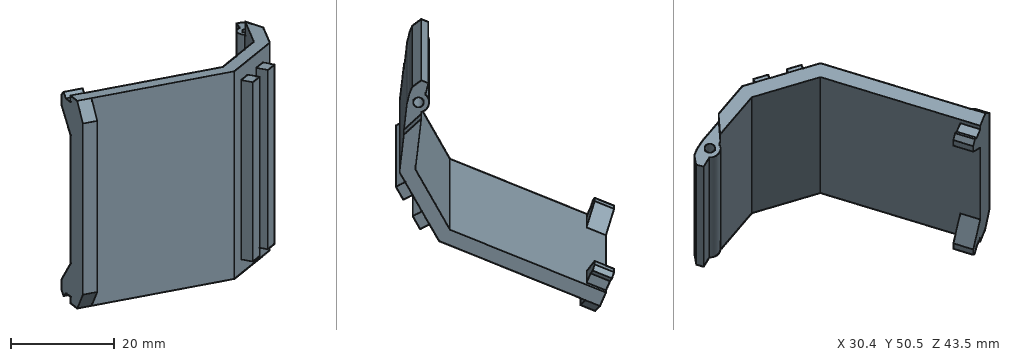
import cadquery as cq
import math

TOTAL_X = 30.35
TOTAL_Y = 50.45
HEIGHT = 43.5

PLATE_THICKNESS = 3.0
WALL_OUTER_X = 27.9
LOWER_BEND = (WALL_OUTER_X, 33.8)
UPPER_BEND = (17.95, 46.3)
TOP_ANGLE = math.radians(163.3)
TOP_LENGTH = 7.7
PLATE_TIP_INNER_X = 6.3

FLANGE_DEPTH = 3.1
FLANGE_CHAMFER_Z = 3.85

HOOK_DEPTH = 4.1
HOOK_REACH = 4.05
HOOK_BARB_HALF_WIDTH = 1.0
HOOK_TIP_INSET = 0.35
HOOK_NECK_INSET = 1.35
HOOK_FRONT_END_INSET = 3.45
HOOK_ROOT_INSET = 8.3

HINGE_INSET = 3.0
HINGE_HEIGHT = HEIGHT - 2 * HINGE_INSET
HINGE_CENTER = (4.35, 48.1)
BARREL_RADIUS = 2.05
HINGE_HOLE_DIAMETER = 2.0
LIP_BOTTOM_Y = 47.85
LIP_TOP_Y = 49.4
LIP_CREST_X = 1.9
CROWN_FLAT_END_X = 3.25
CROWN_END_X = 5.45
BARREL_START_ANGLE = math.radians(197)

RAIL_WIDTH = 3.05
RAIL_DEPTH = 2.5
RAIL_STARTS = (3.15, 9.95)


def along(point, angle, distance):
    """Point reached by moving a distance from a point at an angle."""
    return (point[0] + distance * math.cos(angle), point[1] + distance * math.sin(angle))


def inner_bend(bend, angle_before, angle_after):
    """Inner mitred point of a bend, one plate thickness inside its outer point."""
    half_turn = (angle_after - angle_before) / 2
    mitre_angle = (angle_before + angle_after) / 2 + math.pi / 2
    return along(bend, mitre_angle, PLATE_THICKNESS / math.cos(half_turn))


def prism(points, height):
    """Closed polygon extruded along Z, centred on z = 0."""
    return cq.Workplane("XY").polyline(points).close().extrude(height / 2, both=True)


WALL_ANGLE = math.pi / 2
SLOPE_ANGLE = math.atan2(UPPER_BEND[1] - LOWER_BEND[1], UPPER_BEND[0] - LOWER_BEND[0])
WALL_INNER_X = WALL_OUTER_X - PLATE_THICKNESS
PLATE_TIP_OUTER = along(UPPER_BEND, TOP_ANGLE, TOP_LENGTH)
UPPER_BEND_INNER = inner_bend(UPPER_BEND, SLOPE_ANGLE, TOP_ANGLE)
PLATE_TIP_INNER = along(
    UPPER_BEND_INNER, TOP_ANGLE, (PLATE_TIP_INNER_X - UPPER_BEND_INNER[0]) / math.cos(TOP_ANGLE)
)

INNER_NORMAL_ANGLE = TOP_ANGLE + math.pi / 2
INNER_FACE_OFFSET = (
    (PLATE_TIP_INNER[0] - HINGE_CENTER[0]) * math.cos(INNER_NORMAL_ANGLE)
    + (PLATE_TIP_INNER[1] - HINGE_CENTER[1]) * math.sin(INNER_NORMAL_ANGLE)
)
BARREL_END_ANGLE = INNER_NORMAL_ANGLE + math.acos(INNER_FACE_OFFSET / BARREL_RADIUS)


def bent_plate():
    outline = [
        (WALL_INNER_X, 0),
        (WALL_OUTER_X, 0),
        LOWER_BEND,
        UPPER_BEND,
        PLATE_TIP_OUTER,
        PLATE_TIP_INNER,
        UPPER_BEND_INNER,
        inner_bend(LOWER_BEND, WALL_ANGLE, SLOPE_ANGLE),
    ]
    return prism(outline, HEIGHT)


def flange():
    half = HEIGHT / 2
    outline = [
        (WALL_INNER_X, -half),
        (WALL_OUTER_X, -half),
        (TOTAL_X, -half + FLANGE_CHAMFER_Z),
        (TOTAL_X, half - FLANGE_CHAMFER_Z),
        (WALL_OUTER_X, half),
        (WALL_INNER_X, half),
    ]
    return cq.Workplane("XZ").polyline(outline).close().extrude(-FLANGE_DEPTH)


def hook():
    """Upper hook; it is joined to the wall by a root inside the plate."""
    half = HEIGHT / 2
    front_x = WALL_INNER_X - HOOK_REACH
    root_x = WALL_INNER_X + PLATE_THICKNESS / 2
    outline = [
        (root_x, half - HOOK_NECK_INSET),
        (front_x + 2 * HOOK_BARB_HALF_WIDTH, half - HOOK_NECK_INSET),
        (front_x + HOOK_BARB_HALF_WIDTH, half - HOOK_TIP_INSET),
        (front_x, half - HOOK_NECK_INSET),
        (front_x, half - HOOK_FRONT_END_INSET),
        (WALL_INNER_X, half - HOOK_ROOT_INSET),
        (root_x, half - HOOK_ROOT_INSET),
    ]
    return cq.Workplane("XZ").polyline(outline).close().extrude(-HOOK_DEPTH)


def hinge_strip():
    crown_run = (CROWN_END_X - PLATE_TIP_OUTER[0]) / math.cos(TOP_ANGLE)
    crown_end = along(PLATE_TIP_OUTER, TOP_ANGLE, crown_run)
    outline = (
        cq.Workplane("XY", origin=(0, 0, -HINGE_HEIGHT / 2))
        .moveTo(0, LIP_BOTTOM_Y)
        .lineTo(0, LIP_TOP_Y)
        .lineTo(LIP_CREST_X, TOTAL_Y)
        .lineTo(CROWN_FLAT_END_X, TOTAL_Y)
        .lineTo(*crown_end)
        .lineTo(*PLATE_TIP_OUTER)
        .lineTo(*PLATE_TIP_INNER)
        .lineTo(*along(HINGE_CENTER, BARREL_END_ANGLE, BARREL_RADIUS))
        .threePointArc(
            along(HINGE_CENTER, (BARREL_START_ANGLE + BARREL_END_ANGLE) / 2, BARREL_RADIUS),
            along(HINGE_CENTER, BARREL_START_ANGLE, BARREL_RADIUS),
        )
        .close()
    )
    strip = outline.extrude(HINGE_HEIGHT)
    pin = cq.Workplane("XY").center(*HINGE_CENTER).circle(HINGE_HOLE_DIAMETER / 2)
    return strip.cut(pin.extrude(HEIGHT / 2, both=True))


def rail(start):
    """Rail across the sloping panel, starting a distance below the upper bend."""
    downhill = SLOPE_ANGLE - math.pi
    outward = SLOPE_ANGLE - math.pi / 2
    near = along(UPPER_BEND, downhill, start)
    far = along(near, downhill, RAIL_WIDTH)
    root = -PLATE_THICKNESS / 2
    outline = [
        along(near, outward, root),
        along(near, outward, RAIL_DEPTH),
        along(far, outward, RAIL_DEPTH),
        along(far, outward, root),
    ]
    return prism(outline, HINGE_HEIGHT)


upper_hook = hook()
result = bent_plate().union(flange()).union(hinge_strip())
result = result.union(upper_hook).union(upper_hook.mirror("XY"))
for rail_start in RAIL_STARTS:
    result = result.union(rail(rail_start))